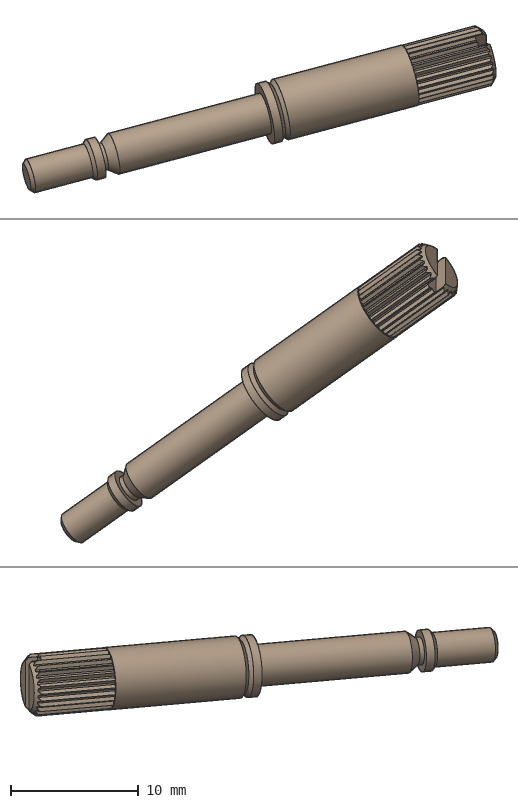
import cadquery as cq
import math

length = 38.0
body_radius = 4.9 / 2
shaft_radius = 3.3 / 2
tip_radius = 2.75 / 2
neck_radius = 2.2 / 2

tip_end = 5.0
retainer_end = 6.0
shaft_start = 7.15
flange_start = 19.6
groove_start = 20.3
groove_end = 20.9

tip_chamfer = 0.3
retainer_chamfer = shaft_radius - tip_radius
neck_cone_length = 0.75
groove_depth = (groove_end - groove_start) / 2

knurl_length = 6.5
knurl_start = length - knurl_length
tooth_count = 26
crest_clearance = 0.01
crest_radius = body_radius - crest_clearance
tooth_depth = 0.247
root_radius = crest_radius - tooth_depth
root_width = 0.133
end_chamfer = 0.5
slot_width = 1.0
slot_depth = 1.0


def turned_shaft():
    """Every plain round section, from the thin tip up to the knurl."""
    groove_middle = (groove_start + groove_end) / 2
    half_profile = [
        (0, 0),
        (tip_radius - tip_chamfer, 0),
        (tip_radius, tip_chamfer),
        (tip_radius, tip_end),
        (shaft_radius, tip_end + retainer_chamfer),
        (shaft_radius, retainer_end),
        (neck_radius, retainer_end),
        (neck_radius, shaft_start - neck_cone_length),
        (shaft_radius, shaft_start),
        (shaft_radius, flange_start),
        (body_radius, flange_start),
        (body_radius, groove_start),
        (body_radius - groove_depth, groove_middle),
        (body_radius, groove_end),
        (body_radius, knurl_start),
        (0, knurl_start),
    ]
    return cq.Workplane("XY").polyline(half_profile).close().revolve(360, (0, 0), (0, 1))


def knurl():
    """Sharp straight teeth around the end, with narrow flat-bottomed gaps; crests point along +X and -X."""
    pitch_angle = 2 * math.pi / tooth_count
    half_root_angle = root_width / 2 / root_radius
    outline = []
    for tooth in range(tooth_count):
        crest_angle = tooth * pitch_angle
        gap_angle = crest_angle + pitch_angle / 2
        corners = [
            (crest_radius, crest_angle),
            (root_radius, gap_angle - half_root_angle),
            (root_radius, gap_angle + half_root_angle),
        ]
        for radius, angle in corners:
            outline.append((radius * math.cos(angle), radius * math.sin(angle)))
    base = cq.Workplane("XZ", origin=(0, knurl_start, 0))
    return base.polyline(outline).close().extrude(-knurl_length)


def end_chamfer_ring():
    """Waste outside a 45 degree cone that bevels the teeth."""
    reach = 2 * end_chamfer
    section = [
        (body_radius - reach, length - end_chamfer + reach),
        (body_radius + reach, length - end_chamfer + reach),
        (body_radius + reach, length - end_chamfer - reach),
    ]
    return cq.Workplane("XY").polyline(section).close().revolve(360, (0, 0), (0, 1))


def screwdriver_slot():
    """Slot across the knurled end, running through in Z."""
    cut_height = 3 * body_radius
    return cq.Workplane("XY").box(slot_width, 2 * slot_depth, cut_height).translate((0, length, 0))


result = turned_shaft().union(knurl()).cut(end_chamfer_ring()).cut(screwdriver_slot())